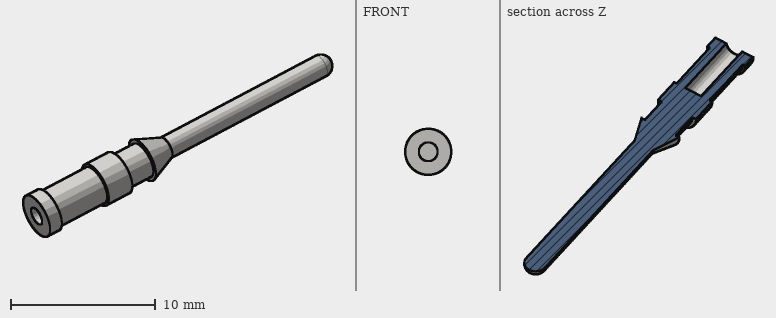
import cadquery as cq
import math

overall_length = 25.0
collar_diameter = 3.2
barrel_diameter = 2.8
neck_diameter = 2.6
pin_diameter = 1.6
bore_diameter = 1.3

rim_length = 1.0
barrel_length = 4.0
collar_length = 2.0
neck_length = 2.0
cone_length = 2.0

rear_y = -overall_length / 2
rim_y = rear_y + rim_length
barrel_y = rim_y + barrel_length
collar_y = barrel_y + collar_length
neck_y = collar_y + neck_length
cone_y = neck_y + cone_length
tip_y = overall_length / 2

bore_depth = rim_length + barrel_length

collar_radius = collar_diameter / 2
barrel_radius = barrel_diameter / 2
neck_radius = neck_diameter / 2
pin_radius = pin_diameter / 2

dome_start_y = tip_y - pin_radius
dome_offset = pin_radius * math.sqrt(0.5)


def turned_body():
    """Revolve the half outline, drawn as (radius, y), about the Y axis."""
    outline = (
        cq.Workplane("XY")
        .moveTo(0, rear_y)
        .lineTo(collar_radius, rear_y)
        .lineTo(collar_radius, rim_y)
        .lineTo(barrel_radius, rim_y)
        .lineTo(barrel_radius, barrel_y)
        .lineTo(collar_radius, barrel_y)
        .lineTo(collar_radius, collar_y)
        .lineTo(neck_radius, collar_y)
        .lineTo(neck_radius, neck_y)
        .lineTo(collar_radius, neck_y)
        .lineTo(pin_radius, cone_y)
        .lineTo(pin_radius, dome_start_y)
        .threePointArc((dome_offset, dome_start_y + dome_offset), (0, tip_y))
        .close()
    )
    return outline.revolve(360, (0, 0, 0), (0, 1, 0))


def wire_bore():
    """Blind round hole entering from the -Y face."""
    entry = cq.Workplane("XZ", origin=(0, rear_y, 0))
    return entry.circle(bore_diameter / 2).extrude(-bore_depth)


result = turned_body().cut(wire_bore())